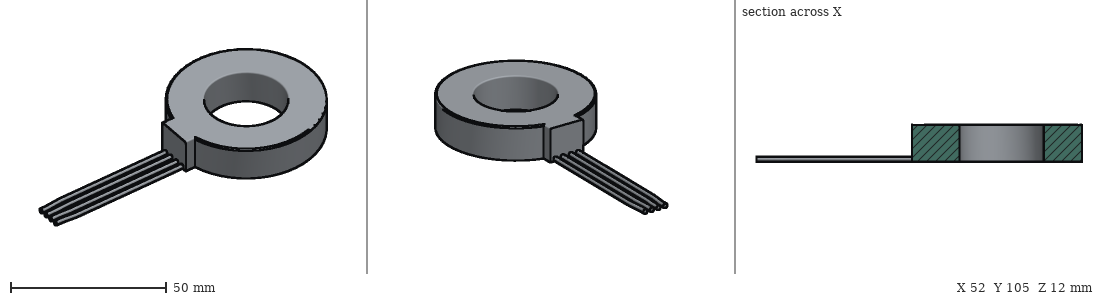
import cadquery as cq
import math

RING_DIAMETER = 52.0
BORE_DIAMETER = 27.1
HEIGHT = 12.0
EDGE_FILLET = 0.5

BLOCK_WIDTH = 12.9
BLOCK_REACH = 28.9

OVERALL_LENGTH = 105
TIP_Y = RING_DIAMETER / 2 - OVERALL_LENGTH
WIRE_DIAMETER = 1.7
WIRE_EMBED = 1.0
WIRE_START_Y = -BLOCK_REACH + WIRE_EMBED
WIRE_AXIS_Z = WIRE_DIAMETER / 2

OUTER_ROOT_X = 4.4
INNER_ROOT_X = 1.6
OUTER_TIP_X = 3.9
INNER_TIP_X = OUTER_TIP_X / 3

WIRES = [
    (-OUTER_ROOT_X, -OUTER_TIP_X, 8.2, 2.3, 0.6),
    (-INNER_ROOT_X, -INNER_TIP_X, 8.8, 4.7, 1.3),
    (INNER_ROOT_X, INNER_TIP_X, 7.1, 4.1, 0.9),
    (OUTER_ROOT_X, OUTER_TIP_X, 7.4, 2.9, 1.5),
]


def make_body():
    """Bored ring with the wire block, its top edges rounded except at the wire face."""
    ring = cq.Workplane("XY").circle(RING_DIAMETER / 2).extrude(HEIGHT)
    block = (
        cq.Workplane("XY")
        .center(0, -BLOCK_REACH / 2)
        .rect(BLOCK_WIDTH, BLOCK_REACH)
        .extrude(HEIGHT)
    )
    bore = cq.Workplane("XY").circle(BORE_DIAMETER / 2).extrude(HEIGHT)
    body = ring.union(block).cut(bore)
    return body.faces(">Z").edges("not <Y").fillet(EDGE_FILLET)


def make_wire(root_x, tip_x, first_corner, second_corner, setback):
    """Round wire that jogs sideways near its tip through two equal arcs."""
    first_y = TIP_Y + first_corner
    second_y = TIP_Y + second_corner
    jog_angle = math.atan2(tip_x - root_x, first_y - second_y)
    setback_x = setback * math.sin(jog_angle)
    setback_y = setback * math.cos(jog_angle)
    path = (
        cq.Workplane("XY", origin=(0, 0, WIRE_AXIS_Z))
        .moveTo(root_x, WIRE_START_Y)
        .lineTo(root_x, first_y + setback)
        .tangentArcPoint((root_x + setback_x, first_y - setback_y), relative=False)
        .lineTo(tip_x - setback_x, second_y + setback_y)
        .tangentArcPoint((tip_x, second_y - setback), relative=False)
        .lineTo(tip_x, TIP_Y)
    )
    section = cq.Workplane("XZ", origin=(root_x, WIRE_START_Y, WIRE_AXIS_Z)).circle(WIRE_DIAMETER / 2)
    return section.sweep(path)


result = make_body()
for wire in WIRES:
    result = result.union(make_wire(*wire))